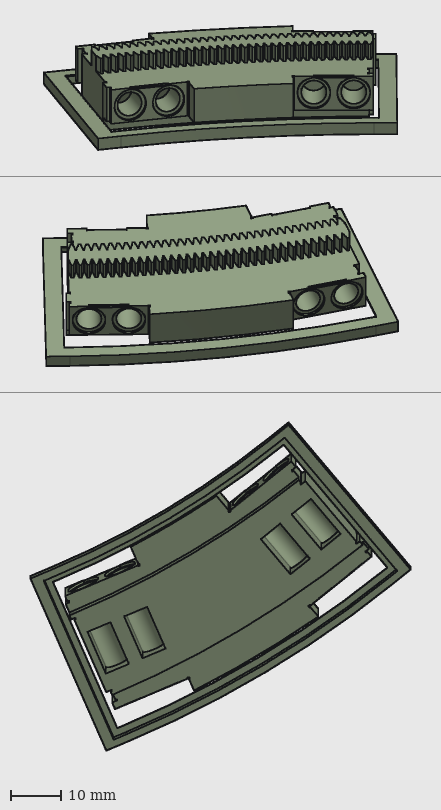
import cadquery as cq
import math

bend_radius = 200.6
bend_angle = 16.2

frame_height = 2.5
frame_outer_width = 38.4
frame_wall = 2.9
frame_outer_overhang = 4.7
frame_inner_overhang = 1.05
frame_lip_height = 0.3
frame_rebate = 1.4

block_bottom = 2.7
block_top = 9.95
block_width = 32.0
plinth_width = 18.35

neck_width = 25.3
neck_length = 16.0
corner_relief = 0.35

joint_offset = 9.7
notch_width = 3.0
notch_depth = 0.85
tab_width = 2.8
tab_length = 0.6
joint_relief = 0.3

hole_diameter = 5.0
counterbore_diameter = 6.6
counterbore_depth = 0.6
hole_spacing = 8.0
first_hole_place = 3.95
pin_depth = 8.0
edge_step_depth = 0.5

rack_top = 13.2
rack_root_width = 3.2
rack_tip_width = 6.7
tooth_count = 36
root_land = 0.12
tip_land = 0.3

hole_level = (block_bottom + block_top) / 2
edge_step_height = (block_top - block_bottom - counterbore_diameter) / 2


def track_point(angle, side):
    """Point at an angle along the bend, off the centreline by side (positive towards +X)."""
    turn = math.radians(angle)
    radius = bend_radius - side
    return (bend_radius - radius * math.cos(turn), radius * math.sin(turn))


end_places = [
    cq.Location(cq.Vector(0, 0, 0)),
    cq.Location(cq.Vector(*track_point(bend_angle, 0)), cq.Vector(0, 0, 1), 180 - bend_angle),
]


def upright_block(x_middle, x_size, y_start, y_end, bottom=0.0, top=block_top):
    """Box centred on x_middle that spans the given Y and Z ranges."""
    return cq.Workplane("XY").box(x_size, y_end - y_start, top - bottom).translate(
        (x_middle, (y_start + y_end) / 2, (bottom + top) / 2)
    )


def at_end(shape, place):
    """Shape given in the local axes of an end, put at that end."""
    return cq.Workplane(shape.val().moved(place))


def curved_slab(width, overhang, bottom, top):
    """Slab that follows the bend and runs straight past each end by the overhang."""
    half = width / 2
    slab = (
        cq.Workplane("XY", origin=(0, 0, bottom))
        .moveTo(*track_point(0, -half))
        .threePointArc(track_point(bend_angle / 2, -half), track_point(bend_angle, -half))
        .lineTo(*track_point(bend_angle, half))
        .threePointArc(track_point(bend_angle / 2, half), track_point(0, half))
        .close()
        .extrude(top - bottom)
    )
    if overhang > 0:
        for place in end_places:
            slab = slab.union(at_end(upright_block(0, width, -overhang, 0, bottom, top), place))
    return slab


def make_frame():
    outer = curved_slab(frame_outer_width, frame_outer_overhang, 0, frame_height)
    inner_width = frame_outer_width - 2 * frame_wall
    opening = curved_slab(inner_width, frame_inner_overhang, 0, frame_height)
    rebate = curved_slab(
        inner_width + 2 * frame_rebate,
        frame_inner_overhang + frame_rebate,
        0,
        frame_height - frame_lip_height,
    )
    return outer.cut(opening).cut(rebate)


def end_cutters():
    """Everything removed at one end, in that end's local axes."""
    cutters = []
    notch_left = -joint_offset - notch_width / 2
    notch_right = -joint_offset + notch_width / 2
    tab_left = joint_offset - tab_width / 2
    tab_right = joint_offset + tab_width / 2

    cutters.append(upright_block(-joint_offset, notch_width, -notch_depth, notch_depth))
    for x in (notch_left + joint_relief / 2, notch_right - joint_relief / 2):
        cutters.append(upright_block(x, joint_relief, 0, notch_depth + joint_relief))

    for x in (tab_left - joint_relief / 2, tab_right + joint_relief / 2):
        cutters.append(upright_block(x, joint_relief, 0, joint_relief))

    for side in (-1, 1):
        neck_side = side * neck_width / 2
        recess_width = block_width / 2
        recess_middle = neck_side + side * recess_width / 2
        cutters.append(upright_block(recess_middle, recess_width, -neck_length, neck_length))
        cutters.append(
            upright_block(
                neck_side, corner_relief, neck_length - corner_relief / 2, neck_length + corner_relief / 2
            )
        )

        for y in (first_hole_place, first_hole_place + hole_spacing):
            cutters.append(
                cq.Workplane("YZ", origin=(neck_side, y, hole_level))
                .circle(counterbore_diameter / 2)
                .extrude(-side * counterbore_depth)
            )

        cutters.append(
            upright_block(
                neck_side,
                2 * edge_step_depth,
                first_hole_place,
                first_hole_place + hole_spacing,
                bottom=block_top - edge_step_height,
            )
        )

    for y in (first_hole_place, first_hole_place + hole_spacing):
        cutters.append(
            cq.Workplane("YZ", origin=(-neck_width / 2, y, hole_level))
            .circle(hole_diameter / 2)
            .extrude(neck_width)
        )
        cutters.append(
            upright_block(
                0, neck_width - 2 * pin_depth, y - hole_diameter / 2, y + hole_diameter / 2, top=hole_level
            )
        )
    return cutters


def rack_side(side):
    """Tooth outline points along one side of the rack, from start to end."""
    pitch_angle = bend_angle / tooth_count
    root = side * rack_root_width / 2
    tip = side * rack_tip_width / 2
    points = [track_point(0, root)]
    for tooth in range(tooth_count):
        start = tooth * pitch_angle
        points += [
            track_point(start + pitch_angle * root_land / 2, root),
            track_point(start + pitch_angle * (1 - tip_land) / 2, tip),
            track_point(start + pitch_angle * (1 + tip_land) / 2, tip),
            track_point(start + pitch_angle * (1 - root_land / 2), root),
        ]
    points.append(track_point(bend_angle, root))
    return points


def make_rack():
    outline = rack_side(-1) + rack_side(1)[::-1]
    return cq.Workplane("XY", origin=(0, 0, block_top)).polyline(outline).close().extrude(rack_top - block_top)


def make_track():
    track = curved_slab(block_width, 0, 0, block_top)
    for place in end_places:
        tab = upright_block(joint_offset, tab_width, -tab_length, notch_depth)
        track = track.union(at_end(tab, place))
    for place in end_places:
        for cutter in end_cutters():
            track = track.cut(at_end(cutter, place))

    around_plinth = curved_slab(2 * block_width, frame_outer_overhang, 0, block_bottom).cut(
        curved_slab(plinth_width, frame_outer_overhang, 0, block_bottom)
    )
    return track.cut(around_plinth).union(make_rack())


frame = make_frame()
track = make_track()
result = cq.Compound.makeCompound([frame.val(), track.val()])